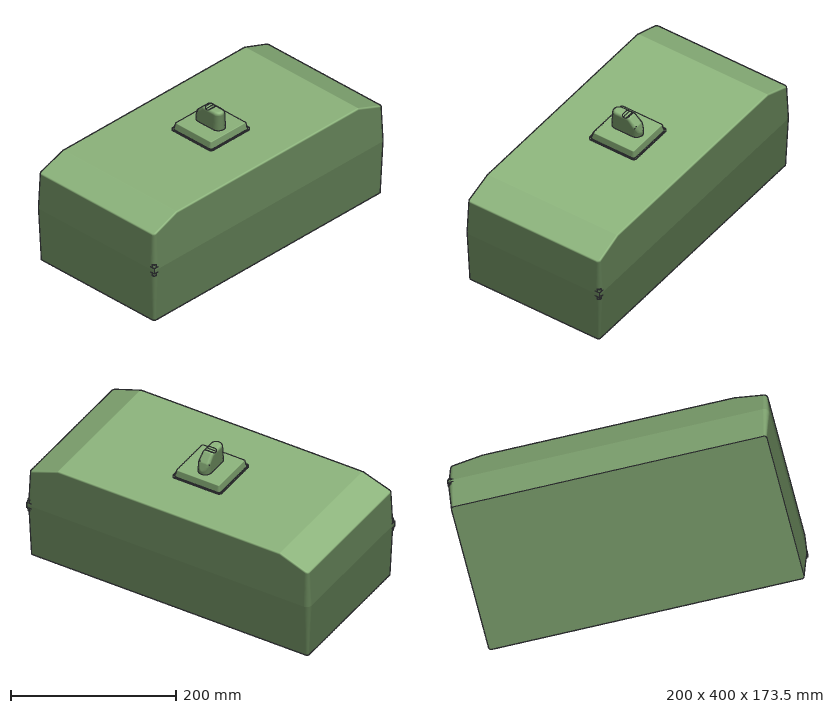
import cadquery as cq
import math

box_width = 200.0
box_length = 400.0
parting_height = 75.0
lid_top = 140.0
wall_draft = 2.6
corner_radius = 7.0
lid_edge_radius = 2.2

slope_start = 157.0
slope_end_height = 125.0

ear_height = 7.5
ear_reach = 8.0
ear_root_height = 16.0
ear_root_reach = 4.0
ear_root_radius = 3.0

plate_lip_width = 69.0
plate_lip_height = 1.0
plate_foot_width = 65.5
plate_top_width = 61.0
plate_top = 149.5
plate_corner_radius = 4.0
plate_edge_radius = 1.0

handle_top = 173.5
handle_length = 43.0
handle_width = 17.5
handle_draft = 3.0
handle_edge_radius = 4.0
nose_head = (-6.5, handle_top)
nose_knee = (-17.0, 163.5)
nose_foot = (-21.5, 153.0)
groove_top_width = 9.0
groove_floor_width = 4.0
groove_depth = 1.5


def tapered_shell(radius):
    """Base and lid blocks, both narrowing away from the parting plane."""
    outline = cq.Sketch().rect(box_width, box_length)
    if radius > 0:
        outline = outline.vertices().fillet(radius)
    parting = cq.Workplane("XY").workplane(offset=parting_height).placeSketch(outline)
    lid = parting.extrude(lid_top - parting_height, taper=wall_draft)
    base = parting.extrude(-parting_height, taper=wall_draft)
    return base.union(lid)


def make_box():
    end_draft = (slope_end_height - parting_height) * math.tan(math.radians(wall_draft))
    slope_end = box_length / 2 - end_draft
    slope_pitch = (lid_top - slope_end_height) / (slope_end - slope_start)
    beyond = box_length / 2 + 4
    beyond_height = lid_top - slope_pitch * (beyond - slope_start)
    box = tapered_shell(corner_radius)
    for side in (1, -1):
        wedge = (
            cq.Workplane("YZ")
            .moveTo(side * slope_start, lid_top)
            .lineTo(side * beyond, lid_top)
            .lineTo(side * beyond, beyond_height)
            .close()
            .extrude(box_width / 2, both=True)
        )
        box = box.cut(wedge)
    upper_faces = box.faces(cq.selectors.BoxSelector(
        (-box_width, -box_length, slope_end_height),
        (box_width, box_length, lid_top + 4),
    ))
    return upper_faces.edges().fillet(lid_edge_radius)


def make_ear_step(radius, reach, height):
    """Both ears as one step, with the given corner radius, reach and height."""
    corners = [(-box_width / 2, box_length / 2), (box_width / 2, -box_length / 2)]
    blocks = (
        cq.Workplane("XY")
        .workplane(offset=parting_height)
        .pushPoints(corners)
        .box(2 * reach, 2 * reach, height)
    )
    return tapered_shell(radius).intersect(blocks)


def rounded_square(width):
    return cq.Sketch().rect(width, width).vertices().fillet(plate_corner_radius)


def make_plate():
    foot = lid_top + plate_lip_height
    slope_height = plate_top - foot
    inset = (plate_foot_width - plate_top_width) / 2
    slope_angle = math.degrees(math.atan(inset / slope_height))
    lip = (
        cq.Workplane("XY")
        .workplane(offset=lid_top)
        .placeSketch(rounded_square(plate_lip_width))
        .extrude(plate_lip_height)
    )
    cap = (
        cq.Workplane("XY")
        .workplane(offset=foot)
        .placeSketch(rounded_square(plate_foot_width))
        .extrude(slope_height, taper=slope_angle)
        .faces(">Z").edges().fillet(plate_edge_radius)
    )
    return lip.union(cap)


def make_handle():
    grip = (
        cq.Workplane("XY")
        .workplane(offset=plate_top)
        .slot2D(handle_length, handle_width)
        .extrude(handle_top - plate_top, taper=handle_draft)
    )
    beyond = -handle_length / 2 - 4
    nose_cut = (
        cq.Workplane("XZ")
        .moveTo(*nose_head)
        .lineTo(*nose_knee)
        .lineTo(*nose_foot)
        .lineTo(beyond, nose_foot[1])
        .lineTo(beyond, handle_top)
        .close()
        .extrude(handle_width, both=True)
    )
    grip = grip.cut(nose_cut)
    rim = grip.faces("#Y and (not <Z)").edges()
    grip = rim.fillet(handle_edge_radius)
    groove = (
        cq.Workplane("XZ")
        .moveTo(-groove_top_width / 2, handle_top)
        .lineTo(-groove_floor_width / 2, handle_top - groove_depth)
        .lineTo(groove_floor_width / 2, handle_top - groove_depth)
        .lineTo(groove_top_width / 2, handle_top)
        .close()
        .extrude(handle_width, both=True)
    )
    return grip.cut(groove)


result = (
    make_box()
    .union(make_ear_step(0, ear_reach, ear_height))
    .union(make_ear_step(ear_root_radius, ear_root_reach, ear_root_height))
    .union(make_plate())
    .union(make_handle())
)